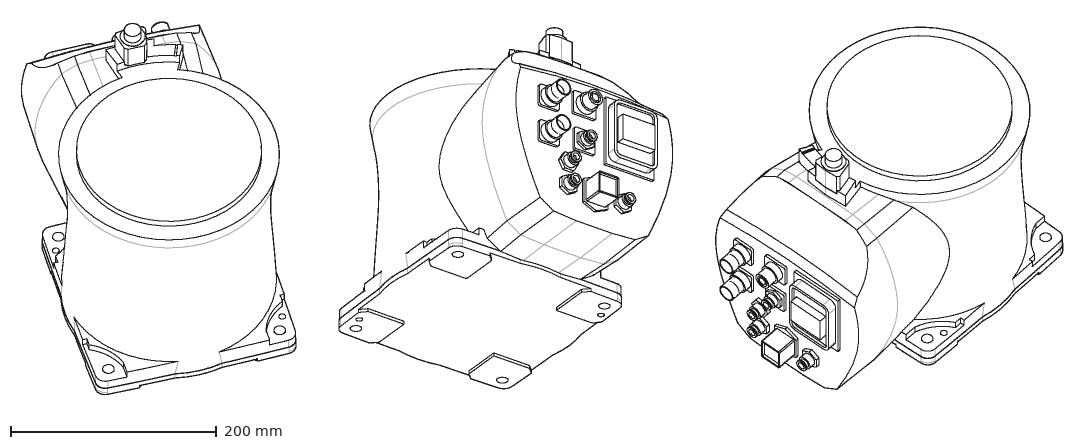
import cadquery as cq
import math


flange_radius = 107.5
flange_top = 217.0
flange_bottom = 201.5
flange_bottom_radius = 104.8
disc_radius = 90.0
disc_top = 224.3
column_foot_radius = 105.0
waist_points = [(104.5, 28.2), (101.5, 82.0), (99.0, 144.5)]

plate_half = 101.0
side_bulge = 1.5
plate_top = 27.5
plate_corner_radius = 10.0
skirt_top = 9.5
skirt_step = 0.3
foot_height = 3.3
foot_inner = 53.2
foot_corner_cut = 7.2
pad_top = 20.0
bolt_offset = 86.7
bolt_radius = 5.5
dowel_x = 70.5
dowel_y = 94.0
dowel_radius = 3.3

face_x = -194.0
crest_x = -139.5
housing_end_x = -39.5
crest_half_width = 95.0
face_half_width = 93.0
end_half_width = 83.5
housing_top = 212.0
end_top = 196.7
housing_bottom = 7.2
face_bottom = 8.2
crown_points = [(36.8, housing_top), (52.0, 209.8), (68.0, 201.0)]
flank_points = [(86.5, 167.5), (crest_half_width, 121.5), (82.8, 60.0), (65.7, 19.5)]
floor_points = [(49.3, 9.2), (21.7, housing_bottom)]

arch_radius = 693.0
bevel_bottom = 165.0
bevel_top = (-187.2, 172.7)
scoop_middle = (-164.5, 189.0)
scoop_top = (-150.5, 212.0)

base_thickness = 3.0
panel_x = face_x - base_thickness
socket_shoulder_x = -204.5
socket_shoulder_radius = 10.2
small_base_corner_radius = 1.5
panel_nut_thickness = 4.0
embed = 1.5

sensor_x = -126.0
mount_bottom = 205.2
mount_top = 227.2
mount_inner_radius = 116.5
arm_outer_radius = 130.0
seat_z = 223.0
sensor_body_top = 248.3
collar_bottom_radius = 10.5
collar_radius = 12.0
collar_top = 251.0
sensor_tip_radius = 8.2
sensor_tip_top = 260.7


def panel_plane(x):
    """Plane facing -X at the given x; local x is -Y and local y is +Z."""
    return cq.Workplane(cq.Plane(origin=(x, 0, 0), xDir=(0, -1, 0), normal=(-1, 0, 0)))


def peg(radius, y, z, start_x, end_x):
    """Cylinder pointing along -X."""
    return panel_plane(start_x).center(-y, z).circle(radius).extrude(start_x - end_x)


def panel_block(width, height, y, z, start_x, end_x):
    """Rectangular block pointing along -X."""
    return panel_plane(start_x).center(-y, z).rect(width, height).extrude(start_x - end_x)


def panel_base(width, height, y, z, corner_radius):
    """Thin rounded mounting plate on the housing face."""
    plate = panel_block(width, height, y, z, face_x + embed, panel_x)
    return plate.edges("|X").fillet(corner_radius)


def hexagon(flat_width, y, z, start_x, end_x, corner_angle):
    """Hexagonal nut pointing along -X with one corner at corner_angle degrees."""
    corner_radius = flat_width / math.sqrt(3)
    angles = [math.radians(corner_angle + 60 * i) for i in range(6)]
    corners = [(corner_radius * math.cos(a) - y, corner_radius * math.sin(a) + z) for a in angles]
    return panel_plane(start_x).polyline(corners).close().extrude(start_x - end_x)


def make_column():
    skirt_radius = column_foot_radius + skirt_step
    side_profile = waist_points + [(flange_bottom_radius, flange_bottom)]
    return (
        cq.Workplane("XZ")
        .moveTo(0, foot_height)
        .lineTo(skirt_radius, foot_height)
        .lineTo(skirt_radius, skirt_top)
        .lineTo(column_foot_radius, skirt_top)
        .spline(side_profile, includeCurrent=True)
        .lineTo(flange_radius, flange_top)
        .lineTo(disc_radius, flange_top)
        .lineTo(disc_radius, disc_top)
        .lineTo(0, disc_top)
        .close()
        .revolve(360, (0, 0, 0), (0, 1, 0))
    )


def plate_block(half, bottom, top):
    """Square block with slightly bulging sides and rounded corners."""
    middle = half + side_bulge
    block = (
        cq.Workplane("XY")
        .workplane(offset=bottom)
        .moveTo(-half, -half)
        .threePointArc((0, -middle), (half, -half))
        .threePointArc((middle, 0), (half, half))
        .threePointArc((0, middle), (-half, half))
        .threePointArc((-middle, 0), (-half, -half))
        .close()
        .extrude(top - bottom)
    )
    return block.edges("|Z").fillet(plate_corner_radius)


def make_foot(sign_x, sign_y):
    inner = foot_inner
    outer = plate_half + side_bulge
    cut = foot_corner_cut
    quarter = [(inner + cut, outer), (inner, outer - cut), (inner, inner), (outer - cut, inner),
               (outer, inner + cut), (outer, outer)]
    corners = [(sign_x * x, sign_y * y) for x, y in quarter]
    return cq.Workplane("XY").polyline(corners).close().extrude(skirt_top)


def make_corner_pocket(sign_x, sign_y):
    """Cutter that lowers one plate corner to the bolting pad."""
    outside = plate_half + 6.5
    side_wall = 72.2
    arc_start = 88.5
    arc_middle = (74.5, 79.0)
    arc_end = (58.0, 98.0)
    notch_end = 50.2

    def at(x, y):
        return (sign_x * x, sign_y * y)

    return (
        cq.Workplane("XY")
        .workplane(offset=pad_top)
        .moveTo(*at(outside, side_wall))
        .lineTo(*at(arc_start, side_wall))
        .threePointArc(at(*arc_middle), at(*arc_end))
        .lineTo(*at(notch_end, arc_end[1]))
        .lineTo(*at(notch_end, outside))
        .lineTo(*at(outside, outside))
        .close()
        .extrude(plate_top - pad_top)
    )


def make_base():
    base = plate_block(plate_half - skirt_step, foot_height, plate_top)
    skirt = plate_block(plate_half, foot_height, skirt_top)
    outline = plate_block(plate_half, 0, skirt_top)
    base = base.union(skirt)
    for sign_x in (-1, 1):
        for sign_y in (-1, 1):
            base = base.union(make_foot(sign_x, sign_y).intersect(outline))
            base = base.cut(make_corner_pocket(sign_x, sign_y))
    return base


def make_base_holes():
    bolts = [(sx * bolt_offset, sy * bolt_offset) for sx in (-1, 1) for sy in (-1, 1)]
    dowels = [(dowel_x, dowel_y), (-dowel_x, -dowel_y)]
    cutter = cq.Workplane("XY").pushPoints(bolts).circle(bolt_radius).extrude(pad_top)
    return cutter.union(cq.Workplane("XY").pushPoints(dowels).circle(dowel_radius).extrude(pad_top))


def housing_section(x, half_width, top, bottom):
    """Closed outline of the housing at x, stretched to the given width and height."""
    def fit(point):
        y, z = point
        height_ratio = (z - housing_bottom) / (housing_top - housing_bottom)
        return (y * half_width / crest_half_width, bottom + height_ratio * (top - bottom))

    def mirrored(points):
        return [(-y, z) for y, z in reversed(points)]

    crown = [fit(p) for p in crown_points]
    flank = [fit(p) for p in flank_points]
    floor = [fit(p) for p in floor_points]
    outline = (
        cq.Workplane(cq.Plane(origin=(x, 0, 0), xDir=(0, 1, 0), normal=(1, 0, 0)))
        .polyline(mirrored(crown) + crown)
        .spline(flank, includeCurrent=True)
        .polyline(floor + mirrored(floor) + [mirrored(flank)[0]], includeCurrent=True)
        .spline(mirrored(flank)[1:] + [mirrored(crown)[0]], includeCurrent=True)
        .close()
    )
    return outline.wires().val()


def make_shoulder_cutter():
    """Revolve the scoop profile about a low axis along X, so it arches across the housing."""
    axis_z = bevel_bottom - arch_radius
    clear_x = face_x - 6.5
    clear_z = housing_top + 16.5
    profile = (
        cq.Workplane("XZ")
        .moveTo(clear_x, bevel_bottom)
        .lineTo(face_x, bevel_bottom)
        .lineTo(*bevel_top)
        .threePointArc(scoop_middle, scoop_top)
        .lineTo(scoop_top[0], clear_z)
        .lineTo(clear_x, clear_z)
        .close()
    )
    return profile.revolve(360, (0, axis_z, 0), (1, axis_z, 0))


def make_housing():
    face = housing_section(face_x, face_half_width, housing_top, face_bottom)
    crest = housing_section(crest_x, crest_half_width, housing_top, housing_bottom)
    end = housing_section(housing_end_x, end_half_width, end_top, housing_bottom)
    front = cq.Workplane(cq.Solid.makeLoft([face, crest], True))
    rear = cq.Workplane(cq.Solid.makeLoft([crest, end], True))
    return front.cut(make_shoulder_cutter()).union(rear)


def make_round_socket(y, z):
    """Open tubular socket on a square base."""
    tip_x = -221.0
    tip_radius = 8.5
    bore_radius = 7.5
    bore_depth = 10.0
    base_size = 23.3
    base_corner_radius = 2.5
    socket = panel_base(base_size, base_size, y, z, base_corner_radius)
    socket = socket.union(peg(socket_shoulder_radius, y, z, face_x, socket_shoulder_x))
    socket = socket.union(peg(tip_radius, y, z, face_x, tip_x))
    return socket.cut(peg(bore_radius, y, z, tip_x + bore_depth, tip_x))


def make_small_socket(y, z):
    """Shorter socket with a central pin on a square base."""
    tip_x = -215.5
    tip_radius = 8.2
    bore_radius = 6.0
    bore_depth = 3.3
    pin_radius = 4.0
    base_width = 26.3
    base_height = 25.0
    socket = panel_base(base_width, base_height, y, z, small_base_corner_radius)
    socket = socket.union(peg(socket_shoulder_radius, y, z, face_x, socket_shoulder_x))
    socket = socket.union(peg(tip_radius, y, z, face_x, tip_x))
    socket = socket.cut(peg(bore_radius, y, z, tip_x + bore_depth, tip_x))
    return socket.union(peg(pin_radius, y, z, face_x, tip_x))


def make_hose_fitting(y, z, seat_x, nut_thickness, corner_angle):
    """Hexagon nut, barrel, neck and push-in collar with a shallow bore."""
    nut_x = seat_x - nut_thickness
    barrel_x = -205.0
    neck_x = -208.2
    tip_x = -209.8
    nut_width = 18.0
    barrel_radius = 7.0
    neck_radius = 5.0
    tip_radius = 6.0
    bore_radius = 3.5
    fitting = hexagon(nut_width, y, z, seat_x + embed, nut_x, corner_angle)
    fitting = fitting.union(peg(barrel_radius, y, z, seat_x, barrel_x))
    fitting = fitting.union(peg(neck_radius, y, z, seat_x, neck_x))
    fitting = fitting.union(peg(tip_radius, y, z, neck_x, tip_x))
    return fitting.cut(peg(bore_radius, y, z, barrel_x, tip_x))


def make_raised_fitting(y, z):
    """Hose fitting standing on its own square base."""
    base_width = 24.0
    base_height = 24.3
    nut_thickness = 3.0
    base = panel_base(base_width, base_height, y, z, small_base_corner_radius)
    return base.union(make_hose_fitting(y, z, panel_x, nut_thickness, 90))


def make_square_port(y, z):
    """Square port with a recessed end on an elongated six-sided base."""
    half_width = 14.0
    shoulder_height = 12.8
    peak_height = 19.0
    port_size = 23.5
    recess_size = 20.7
    recess_depth = 3.0
    edge_chamfer = 1.3
    tip_x = -218.7
    corners = [(half_width, shoulder_height), (0, peak_height), (-half_width, shoulder_height),
               (-half_width, -shoulder_height), (0, -peak_height), (half_width, -shoulder_height)]
    base = (
        panel_plane(face_x + embed)
        .center(-y, z)
        .polyline(corners)
        .close()
        .extrude(base_thickness + embed)
    )
    body = panel_block(port_size, port_size, y, z, face_x, tip_x).edges("|X").chamfer(edge_chamfer)
    recess = panel_block(recess_size, recess_size, y, z, tip_x + recess_depth, tip_x)
    return base.union(body.cut(recess))


def make_power_connector(y, z):
    """Large rectangular connector: base, rounded rim and raised inner plug."""
    rim_width = 51.0
    rim_height = 65.0
    rim_wall = 3.3
    rim_corner_radius = 7.5
    rim_x = -207.2
    recess_x = rim_x + 3.0
    plug_x = -212.5
    plug_width = 38.0
    plug_height = 28.0
    base_width = 56.8
    base_height = 75.2
    base = panel_block(base_width, base_height, y, z, face_x + embed, panel_x)
    rim = panel_block(rim_width, rim_height, y, z, face_x, rim_x).edges("|X").fillet(rim_corner_radius)
    recess = panel_block(rim_width - 2 * rim_wall, rim_height - 2 * rim_wall, y, z, recess_x, rim_x)
    recess = recess.edges("|X").fillet(rim_corner_radius - rim_wall)
    plug = panel_block(plug_width, plug_height, y, z, face_x, plug_x)
    return base.union(rim.cut(recess)).union(plug)


def make_connectors():
    outer_column_y = 55.2
    inner_column_y = 13.5
    fitting_y = 32.2
    lower_row_z = 44.3
    return [
        make_round_socket(outer_column_y, 134.5),
        make_round_socket(outer_column_y, 94.5),
        make_small_socket(inner_column_y, 140.0),
        make_raised_fitting(inner_column_y, 99.5),
        make_hose_fitting(fitting_y, 69.5, face_x, panel_nut_thickness, 0),
        make_hose_fitting(fitting_y, lower_row_z, face_x, panel_nut_thickness, 90),
        make_hose_fitting(-fitting_y, lower_row_z, face_x, panel_nut_thickness, 90),
        make_square_port(0.0, lower_row_z),
        make_power_connector(-40.0, 120.0),
    ]


def make_sensor_mount():
    """Curved bracket hugging the flange, with a stepped block that carries the sensor."""
    arm_tip = (-121.0, 49.3)
    arm_root = (-127.7, 22.0)
    arm_middle_y = 36.0
    arm_middle = (-math.sqrt(arm_outer_radius**2 - arm_middle_y**2), arm_middle_y)
    arm_end_on_flange = (-99.8, 37.8)
    block_end_on_flange = (-105.7, -16.5)
    buried_x = -82.0
    block_x = -136.0
    block_ridge_x = -138.0
    block_half = 24.3
    bracket = (
        cq.Workplane("XY")
        .workplane(offset=mount_bottom)
        .moveTo(buried_x, 28.0)
        .lineTo(*arm_end_on_flange)
        .lineTo(*arm_tip)
        .threePointArc(arm_middle, arm_root)
        .lineTo(block_x, block_half)
        .lineTo(block_ridge_x, 0)
        .lineTo(block_x, -block_half)
        .lineTo(*block_end_on_flange)
        .lineTo(buried_x, -10.0)
        .close()
        .extrude(mount_top - mount_bottom)
    )
    ledge_height = mount_top - flange_top
    ledge_cut = (
        cq.Workplane("XY").workplane(offset=flange_top).circle(mount_inner_radius).extrude(ledge_height)
    )
    groove_width = 2.0
    groove_depth = 1.0
    groove_length = 33.0
    groove_angle = -22
    groove_center = (-115.5, 40.7, mount_top)
    groove = (
        cq.Workplane("XY")
        .box(groove_length, groove_width, 2 * groove_depth)
        .rotate((0, 0, 0), (0, 0, 1), groove_angle)
        .translate(groove_center)
    )
    return bracket.cut(ledge_cut).cut(groove)


def make_sensor():
    ridge_x = -138.2
    front_x = -137.0
    rear_x = -113.5
    front_half = 16.0
    rear_half = 11.0
    edge_chamfer = 2.5
    plan = [(front_x, front_half), (ridge_x, 0), (front_x, -front_half),
            (rear_x, -rear_half), (rear_x, rear_half)]
    body = (
        cq.Workplane("XY")
        .workplane(offset=seat_z)
        .polyline(plan)
        .close()
        .extrude(sensor_body_top - seat_z)
        .edges("|Z and (>Y or <Y or >X)")
        .chamfer(edge_chamfer)
    )
    head = (
        cq.Workplane("XZ")
        .moveTo(0, seat_z)
        .lineTo(collar_bottom_radius, seat_z)
        .lineTo(collar_bottom_radius, sensor_body_top)
        .lineTo(collar_radius, collar_top)
        .lineTo(sensor_tip_radius, collar_top)
        .lineTo(sensor_tip_radius, sensor_tip_top)
        .lineTo(0, sensor_tip_top)
        .close()
        .revolve(360, (0, 0, 0), (0, 1, 0))
        .translate((sensor_x, 0, 0))
    )
    return body.union(head)


result = make_column().union(make_base()).union(make_housing())
result = result.cut(make_base_holes())
for connector in make_connectors():
    result = result.union(connector)
result = result.union(make_sensor_mount()).union(make_sensor())